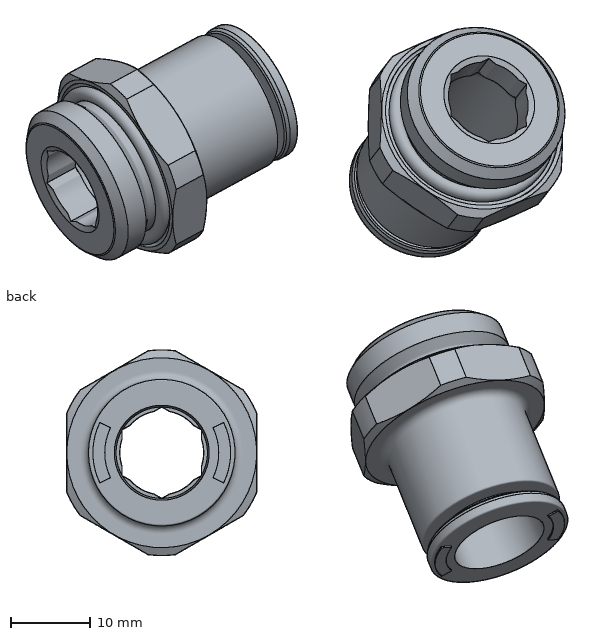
import cadquery as cq
import math


chamfer_end = 1.23
thread_end = 4.08
hex_front = 7.1
hex_back = 12.55
body_end = 26.0
flange_front = 27.25
flange_back = 29.15
overall_length = 29.35

thread_radius = 10.45
neck_radius = 9.2
front_land_radius = 9.1
lip_height = 0.1
runout_angle = math.radians(45)
runout_fillet = 0.5

hex_sides = 6
hex_across_flats = 24.0
hex_corner_radius = 25.97 / 2
hex_face_radius = 11.97
hex_chamfer_angle = 30

sleeve_radius = 9.25
sleeve_round = 0.2
root_fillet = 1.0

key_across_flats = 9.98
passage_radius = 5.28
mouth_radius = 6.02
mouth_depth = 0.35
key_end = 4.7
tube_radius = 6.0
tube_stop_end = 6.25

o_ring_section = 1.8
recess_radius = 11.45
recess_depth = 0.8
recess_fillet = 0.3

ring_neck_radius = 6.75
ring_insertion = 6.0
ring_root_fillet = 0.2
flange_radius = sleeve_radius
flange_taper_length = 0.45
flange_taper_rise = 0.2
flange_bevel = 0.2
flange_round = 0.2
pad_inner_radius = 7.2
pad_outer_radius = 8.7
pad_half_angle = 26

ring_start = body_end - ring_insertion


def cylinder(radius, start, end):
    """Solid cylinder on the Y axis between two stations."""
    return cq.Workplane("XZ", origin=(0, start, 0)).circle(radius).extrude(start - end)


def hexagon(across_flats, start, end):
    """Hexagonal prism on the Y axis with corners pointing up and down and flats facing +X and -X."""
    across_corners = across_flats / math.cos(math.pi / hex_sides)
    prism = cq.Workplane("XZ", origin=(0, start, 0)).polygon(hex_sides, across_corners).extrude(start - end)
    return prism.rotate((0, 0, 0), (0, 1, 0), 180 / hex_sides)


def turned(points):
    """Solid of revolution about Y from (radius, station) points."""
    return cq.Workplane("XY").polyline(points).close().revolve(360, (0, 0, 0), (0, 1, 0))


def threaded_end():
    chamfer_foot = thread_radius - (chamfer_end - lip_height)
    runout_end = thread_end + thread_radius - neck_radius
    half_turn = runout_angle / 2
    tangent = runout_fillet * math.tan(half_turn)
    slope_tangent = tangent * math.sin(runout_angle)
    arc_centre = (neck_radius + runout_fillet, runout_end + tangent)
    arc_middle = (
        arc_centre[0] - runout_fillet * math.cos(half_turn),
        arc_centre[1] - runout_fillet * math.sin(half_turn),
    )
    return (
        cq.Workplane("XY")
        .moveTo(0, 0)
        .lineTo(front_land_radius, 0)
        .lineTo(chamfer_foot, lip_height)
        .lineTo(thread_radius, chamfer_end)
        .lineTo(thread_radius, thread_end)
        .lineTo(neck_radius + slope_tangent, runout_end - slope_tangent)
        .threePointArc(arc_middle, (neck_radius, runout_end + tangent))
        .lineTo(neck_radius, hex_back)
        .lineTo(0, hex_back)
        .close()
        .revolve(360, (0, 0, 0), (0, 1, 0))
    )


def wrench_hexagon():
    chamfer = (hex_corner_radius - hex_face_radius) * math.tan(math.radians(hex_chamfer_angle))
    envelope = turned([
        (0, hex_front),
        (hex_face_radius, hex_front),
        (hex_corner_radius, hex_front + chamfer),
        (hex_corner_radius, hex_back - chamfer),
        (hex_face_radius, hex_back),
        (0, hex_back),
    ])
    return hexagon(hex_across_flats, hex_front, hex_back).intersect(envelope)


def o_ring_recess():
    floor = hex_front + recess_depth
    pocket = cylinder(recess_radius, hex_front, floor).faces(">Y").edges().fillet(recess_fillet)
    return pocket.cut(cylinder(neck_radius, hex_front, floor))


def sleeve():
    """Cylinder behind the hexagon, flaring into it with a concave fillet."""
    foot = hex_back + root_fillet
    middle = root_fillet * (1 - math.sin(math.radians(45)))
    return (
        cq.Workplane("XY")
        .moveTo(0, hex_back)
        .lineTo(sleeve_radius + root_fillet, hex_back)
        .threePointArc((sleeve_radius + middle, hex_back + middle), (sleeve_radius, foot))
        .lineTo(sleeve_radius, body_end)
        .lineTo(0, body_end)
        .close()
        .revolve(360, (0, 0, 0), (0, 1, 0))
        .faces(">Y")
        .edges()
        .fillet(sleeve_round)
    )


def passage():
    """Tapered mouth, hexagonal key socket, tube stop taper, tube bore and seat for the release ring."""
    socket_corner_radius = key_across_flats / 2 / math.cos(math.pi / hex_sides)
    bore = turned([
        (0, 0),
        (mouth_radius, 0),
        (passage_radius, mouth_depth),
        (passage_radius, key_end),
        (socket_corner_radius, key_end),
        (tube_radius, tube_stop_end),
        (tube_radius, ring_start),
        (ring_neck_radius, ring_start),
        (ring_neck_radius, body_end),
        (0, body_end),
    ])
    return bore.union(hexagon(key_across_flats, 0, key_end))


def make_body():
    outside = threaded_end().union(wrench_hexagon().cut(o_ring_recess())).union(sleeve())
    return outside.cut(passage())


def make_o_ring():
    """Ring lying on the neck and against the recess floor."""
    section_radius = o_ring_section / 2
    centre_station = hex_front + recess_depth - section_radius
    return cq.Workplane(
        cq.Solid.makeTorus(
            neck_radius + section_radius, section_radius, cq.Vector(0, centre_station, 0), cq.Vector(0, 1, 0)
        )
    )


def raised_pads():
    """Two low curved pads on the back face of the flange, one on each side."""
    reach = pad_outer_radius / math.cos(math.radians(pad_half_angle))
    rise = reach * math.sin(math.radians(pad_half_angle))
    band = cylinder(pad_outer_radius, flange_back, overall_length).cut(
        cylinder(pad_inner_radius, flange_back, overall_length)
    )
    wedges = (
        cq.Workplane("XZ", origin=(0, flange_back, 0))
        .polyline([(0, 0), (pad_outer_radius, rise), (pad_outer_radius, -rise)])
        .close()
        .polyline([(0, 0), (-pad_outer_radius, rise), (-pad_outer_radius, -rise)])
        .close()
        .extrude(flange_back - overall_length)
    )
    return band.intersect(wedges)


def make_release_ring():
    taper_foot = flange_radius - flange_taper_rise
    taper_start = flange_front + flange_bevel
    neck = cylinder(ring_neck_radius, ring_start, flange_back)
    flange = turned([
        (0, flange_front),
        (taper_foot - flange_bevel, flange_front),
        (taper_foot, taper_start),
        (flange_radius, taper_start + flange_taper_length),
        (flange_radius, flange_back),
        (0, flange_back),
    ])
    flange = flange.faces(">Y").edges().fillet(flange_round)
    inner_edge = cq.selectors.RadiusNthSelector(0)
    ring = neck.union(flange).faces("<Y[1]").edges(inner_edge).fillet(ring_root_fillet)
    ring = ring.cut(cylinder(tube_radius, ring_start, flange_back))
    return ring.union(raised_pads())


body = make_body()
o_ring = make_o_ring()
release_ring = make_release_ring()

result = cq.Compound.makeCompound([body.val(), o_ring.val(), release_ring.val()])